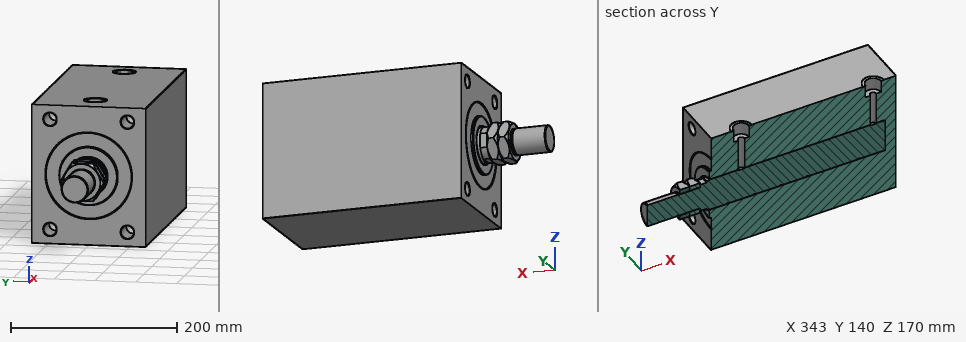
import cadquery as cq
import math


TOTAL_LENGTH = 343.0
FRONT_REACH = 88.0
BLOCK_LENGTH = TOTAL_LENGTH - FRONT_REACH
BLOCK_WIDTH = 140.0
BLOCK_HEIGHT = 170.0
LONG_EDGE_CHAMFER = 0.5

COLLAR_DIAMETER = 72.0
COLLAR_LENGTH = 3.0
COLLAR_CHAMFER = 1.0
COLLAR_FRONT = -COLLAR_LENGTH
GROOVE_DIAMETER = 107.0
GROOVE_DEPTH = 1.0
WIPER_RECESS_DIAMETER = 48.0
WIPER_RECESS_DEPTH = 1.0

FIXING_DIAMETER = 15.8
FIXING_COUNTERSINK = 0.7
FIXING_DEPTH = 34.3
FIXING_PITCH_Y = 95.0
FIXING_PITCH_Z = 135.0
DRILL_POINT_ANGLE = 118.0

PORT_POSITIONS = (42.0, 223.5)
PORT_FACE_DIAMETER = 28.0
PORT_FACE_DEPTH = 0.5
PORT_DIAMETER = 21.0
PORT_DEPTH = 17.0
PASSAGE_DIAMETER = 8.2

NUT_COUNT = 2
NUT_THICKNESS = 14.0
NUT_ACROSS_FLATS = 46.0
NUT_ACROSS_CORNERS = NUT_ACROSS_FLATS / math.cos(math.pi / 6)
NUT_FACE_DIAMETER = 45.3
NUT_CHAMFER_ANGLE = 45.0

ROD_DIAMETER = 45.0
ROD_SHOULDER = -6.2
ROD_END = 240.0
NECK_DIAMETER = 44.2
NECK_LENGTH = 9.0
NECK_ACROSS_FLATS = 40.5
NECK_FRONT = ROD_SHOULDER - NECK_LENGTH
NUTS_FRONT = NECK_FRONT - NUT_COUNT * NUT_THICKNESS
STUD_DIAMETER = 33.0
STUD_CHAMFER = 1.0
RELIEF_WIDTH = 3.0
RELIEF_DEPTH = 0.7


def revolve_about_x(profile_points):
    """Solid of revolution about the X axis from (x, radius) points."""
    profile = cq.Workplane("XZ").polyline(profile_points).close()
    return profile.revolve(360, (0, 0, 0), (1, 0, 0))


def cylinder_along_x(diameter, start, end):
    return cq.Workplane("YZ", origin=(start, 0, 0)).circle(diameter / 2).extrude(end - start)


def make_ring_groove():
    """V groove: sloping outer wall, straight inner wall."""
    outer_radius = GROOVE_DIAMETER / 2
    inner_radius = outer_radius - GROOVE_DEPTH
    return revolve_about_x([(0, outer_radius), (0, inner_radius), (GROOVE_DEPTH, inner_radius)])


def make_fixing_hole():
    """Countersunk blind hole with a drill point, on the X axis."""
    radius = FIXING_DIAMETER / 2
    point_length = radius / math.tan(math.radians(DRILL_POINT_ANGLE / 2))
    return revolve_about_x([
        (0, 0),
        (0, radius + FIXING_COUNTERSINK),
        (FIXING_COUNTERSINK, radius),
        (FIXING_DEPTH, radius),
        (FIXING_DEPTH + point_length, 0),
    ])


def make_port(x):
    """Spot face, threaded bore and narrow passage down to the rod."""
    top = cq.Workplane("XY", origin=(x, 0, BLOCK_HEIGHT / 2))
    spot_face = top.circle(PORT_FACE_DIAMETER / 2).extrude(-PORT_FACE_DEPTH)
    bore = top.circle(PORT_DIAMETER / 2).extrude(-PORT_DEPTH)
    passage = top.circle(PASSAGE_DIAMETER / 2).extrude(-BLOCK_HEIGHT / 2)
    return spot_face.union(bore).union(passage)


def make_housing():
    block = cq.Workplane("XY").box(BLOCK_LENGTH, BLOCK_WIDTH, BLOCK_HEIGHT)
    block = block.edges("|X").chamfer(LONG_EDGE_CHAMFER)
    block = block.translate((BLOCK_LENGTH / 2, 0, 0))
    collar = cylinder_along_x(COLLAR_DIAMETER, COLLAR_FRONT, 0)
    collar = collar.faces("<X").chamfer(COLLAR_CHAMFER)
    housing = block.union(collar).cut(make_ring_groove())

    fixing_hole = make_fixing_hole()
    for side_y in (-1, 1):
        for side_z in (-1, 1):
            place = (0, side_y * FIXING_PITCH_Y / 2, side_z * FIXING_PITCH_Z / 2)
            housing = housing.cut(fixing_hole.translate(place))

    for x in PORT_POSITIONS:
        housing = housing.cut(make_port(x))

    wiper_recess = cylinder_along_x(WIPER_RECESS_DIAMETER, COLLAR_FRONT, COLLAR_FRONT + WIPER_RECESS_DEPTH)
    rod_bore = cylinder_along_x(ROD_DIAMETER, COLLAR_FRONT, ROD_END)
    return housing.cut(wiper_recess).cut(rod_bore)


def make_rod():
    """Rod with a stud, a relief groove in front of the nuts and four flats on its neck."""
    rod_radius = ROD_DIAMETER / 2
    neck_radius = NECK_DIAMETER / 2
    stud_radius = STUD_DIAMETER / 2
    relief_radius = stud_radius - RELIEF_DEPTH
    relief_front = NUTS_FRONT - RELIEF_WIDTH
    rod = revolve_about_x([
        (-FRONT_REACH, 0),
        (-FRONT_REACH, stud_radius - STUD_CHAMFER),
        (-FRONT_REACH + STUD_CHAMFER, stud_radius),
        (relief_front, stud_radius),
        (relief_front + RELIEF_DEPTH, relief_radius),
        (NUTS_FRONT - RELIEF_DEPTH, relief_radius),
        (NUTS_FRONT, stud_radius),
        (NECK_FRONT, stud_radius),
        (NECK_FRONT, neck_radius),
        (ROD_SHOULDER, neck_radius),
        (ROD_SHOULDER, rod_radius),
        (ROD_END, rod_radius),
        (ROD_END, 0),
    ])
    around_flats = (
        cq.Workplane("YZ", origin=(NECK_FRONT, 0, 0))
        .rect(ROD_DIAMETER, ROD_DIAMETER)
        .rect(NECK_ACROSS_FLATS, NECK_ACROSS_FLATS)
        .extrude(NECK_LENGTH)
    )
    return rod.cut(around_flats)


def make_nut(front):
    """Hexagon nut, chamfered on both faces, with two flats facing up and down."""
    hexagon = (
        cq.Workplane("YZ")
        .polygon(6, NUT_ACROSS_CORNERS)
        .circle(STUD_DIAMETER / 2)
        .extrude(NUT_THICKNESS)
    )
    face_radius = NUT_FACE_DIAMETER / 2
    corner_radius = NUT_ACROSS_CORNERS / 2
    chamfer_length = (corner_radius - face_radius) * math.tan(math.radians(NUT_CHAMFER_ANGLE))
    chamfered_disc = revolve_about_x([
        (0, 0),
        (0, face_radius),
        (chamfer_length, corner_radius),
        (NUT_THICKNESS - chamfer_length, corner_radius),
        (NUT_THICKNESS, face_radius),
        (NUT_THICKNESS, 0),
    ])
    return hexagon.intersect(chamfered_disc).translate((front, 0, 0))


housing = make_housing()
rod = make_rod()
nuts = [make_nut(NUTS_FRONT + i * NUT_THICKNESS) for i in range(NUT_COUNT)]

result = cq.Compound.makeCompound([housing.val(), rod.val(), *[nut.val() for nut in nuts]])